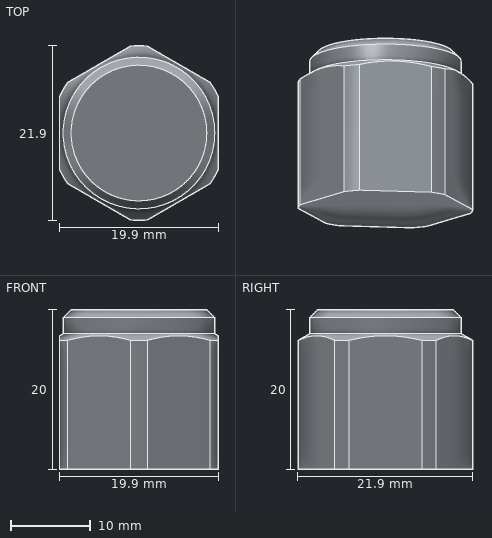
import cadquery as cq
import math

ACROSS_FLATS = 19.92
CORNER_DIAMETER = 21.9
HEIGHT = 20.0
CAP_DIAMETER = 19.0
CAP_HEIGHT = 3.0
CAP_CHAMFER = 1.0
SHOULDER_ANGLE = 30.0

HEX_SIDES = 6
HEX_ROTATION = 30.0

corner_radius = CORNER_DIAMETER / 2
cap_radius = CAP_DIAMETER / 2
shoulder_z = HEIGHT - CAP_HEIGHT
shoulder_drop = (corner_radius - cap_radius) * math.tan(math.radians(SHOULDER_ANGLE))


def hex_prism():
    """Full-height hexagonal bar with sharp corners."""
    across_corners = ACROSS_FLATS / math.cos(math.pi / HEX_SIDES)
    return (
        cq.Workplane("XY")
        .polygon(HEX_SIDES, across_corners)
        .extrude(HEIGHT)
        .rotate((0, 0, 0), (0, 0, 1), HEX_ROTATION)
    )


def turned_envelope():
    """Revolved body: rounded corners, conical shoulder and chamfered round cap."""
    return (
        cq.Workplane("XZ")
        .moveTo(0, 0)
        .lineTo(corner_radius, 0)
        .lineTo(corner_radius, shoulder_z - shoulder_drop)
        .lineTo(cap_radius, shoulder_z)
        .lineTo(cap_radius, HEIGHT - CAP_CHAMFER)
        .lineTo(cap_radius - CAP_CHAMFER, HEIGHT)
        .lineTo(0, HEIGHT)
        .close()
        .revolve(360, (0, 0, 0), (0, 1, 0))
    )


result = hex_prism().intersect(turned_envelope())